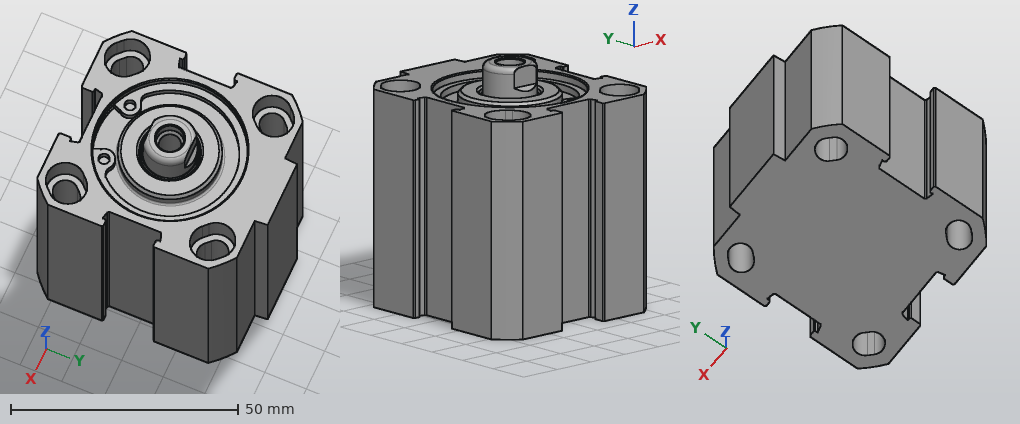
import cadquery as cq
import math

body_width = 46.0
body_depth = 48.0
body_height = 49.5
corner_radius = 30.0
rail_height = 3.0
rail_top_half = 8.05
rail_base_half = 8.3

mouth_half = 6.0
undercut_lip_half = 6.9
undercut_floor_half = 6.5
undercut_depth = 2.0
side_lip = 1.85
front_lip = 3.0
slot_edge_break = 0.3

bolt_x = 16.6
bolt_y = 17.55
bolt_slot_length = 1.57
bolt_diameter = 5.6
counterbore_diameter = 8.57
counterbore_depth = 6.0

bore_diameter = 34.1
bore_chamfer = 0.3
groove_diameter = 35.8

ring_inner_radius = 15.27
ring_thickness = 1.6
ring_depth = 1.8
lug_x = 7.1
lug_y = -12.72
lug_radius = 2.45
lug_hole_diameter = 2.5
lug_fillet = 2.0
lug_end_x = 5.85

cover_thickness = 9.5
collar_diameter = 23.0
collar_depth = 0.5
collar_chamfer = 0.7
collar_foot_fillet = 0.5
mouth_diameter = 13.7
mouth_chamfer = 0.5
wiper_groove_depth = 1.4
wiper_groove_diameter = 13.2
wiper_tip_diameter = 12.54
wiper_tip_depth = 0.8

rod_diameter = 12.0
rod_projection = 6.0
rod_tip_fillet = 1.35
flat_distance = 10.0
flat_length = 4.55
socket_diameter = 6.25
socket_chamfer = 0.25
socket_depth = 2.6
drill_diameter = 4.92
drill_depth = 13.0
drill_point_angle = 118.0

ring_top = body_height - ring_depth
flange_top = ring_top - ring_thickness
cover_bottom = flange_top - cover_thickness
collar_top = body_height - collar_depth
rod_top = body_height + rod_projection
rod_radius = rod_diameter / 2


def cylinder(diameter, bottom, top):
    return cq.Workplane("XY").workplane(offset=bottom).circle(diameter / 2).extrude(top - bottom)


def turned(points):
    """Revolve an (r, z) outline about the piston axis."""
    return cq.Workplane("XZ").polyline(points).close().revolve(360, (0, 0, 0), (0, 1, 0))


def sensor_slot(half_span, lip, turn):
    """Full-height undercut slot cut into the -Y face, then turned about Z."""
    face = -half_span
    lip_inner = face + lip
    floor = lip_inner + undercut_depth
    right_side = [
        (mouth_half + slot_edge_break, face),
        (mouth_half, face + slot_edge_break),
        (mouth_half, lip_inner - slot_edge_break),
        (mouth_half + slot_edge_break, lip_inner),
        (undercut_lip_half, lip_inner),
        (undercut_floor_half, floor - slot_edge_break),
        (undercut_floor_half - slot_edge_break, floor),
    ]
    left_side = [(-x, y) for x, y in reversed(right_side)]
    slot = cq.Workplane("XY").polyline(right_side + left_side).close().extrude(body_height)
    return slot.rotate((0, 0, 0), (0, 0, 1), turn)


def bolt_hole(x_sign, y_sign):
    """Oblong through hole with an oblong counterbore in one corner."""
    long_axis_angle = -45 * x_sign * y_sign

    def oblong(diameter, bottom):
        return (
            cq.Workplane("XY")
            .workplane(offset=bottom)
            .center(x_sign * bolt_x, y_sign * bolt_y)
            .slot2D(bolt_slot_length + diameter, diameter, long_axis_angle)
            .extrude(body_height - bottom)
        )

    counterbore = oblong(counterbore_diameter, body_height - counterbore_depth)
    return oblong(bolt_diameter, 0).union(counterbore)


def make_housing():
    block = cq.Workplane("XY").box(body_width, body_depth, body_height, centered=(True, True, False))
    block = block.intersect(cylinder(2 * corner_radius, 0, body_height))

    back = body_depth / 2
    rail_outline = [
        (-rail_base_half, back),
        (-rail_top_half, back + rail_height),
        (rail_top_half, back + rail_height),
        (rail_base_half, back),
    ]
    block = block.union(cq.Workplane("XY").polyline(rail_outline).close().extrude(body_height))

    block = block.cut(sensor_slot(body_depth / 2, front_lip, 0))
    for turn in (90, -90):
        block = block.cut(sensor_slot(body_width / 2, side_lip, turn))

    for x_sign in (1, -1):
        for y_sign in (1, -1):
            block = block.cut(bolt_hole(x_sign, y_sign))

    bore_radius = bore_diameter / 2
    bore = turned([
        (0, cover_bottom),
        (bore_radius, cover_bottom),
        (bore_radius, body_height - bore_chamfer),
        (bore_radius + bore_chamfer, body_height),
        (0, body_height),
    ])
    ring_groove = cylinder(groove_diameter, flange_top, ring_top)
    return block.cut(bore).cut(ring_groove)


def make_retaining_ring():
    outer_radius = groove_diameter / 2
    ring = cylinder(groove_diameter, flange_top, ring_top)
    ring = ring.cut(cylinder(2 * ring_inner_radius, flange_top, ring_top))

    end_y = -math.sqrt((bore_diameter / 2) ** 2 - lug_end_x ** 2)
    to_lug_x = lug_x - lug_end_x
    to_lug_y = lug_y - end_y
    to_lug = math.hypot(to_lug_x, to_lug_y)
    end_angle = math.atan2(to_lug_y, to_lug_x) + math.asin(lug_radius / to_lug)
    tangent_length = math.sqrt(to_lug ** 2 - lug_radius ** 2)
    tangent_x = lug_end_x + tangent_length * math.cos(end_angle)
    tangent_y = end_y + tangent_length * math.sin(end_angle)
    overrun = (outer_radius + end_y) / math.sin(end_angle)
    outer_x = lug_end_x - overrun * math.cos(end_angle)
    outer_y = end_y - overrun * math.sin(end_angle)

    gap_outline = [
        (tangent_x, tangent_y),
        (outer_x, outer_y),
        (-outer_x, outer_y),
        (-tangent_x, tangent_y),
    ]
    layer = cq.Workplane("XY").workplane(offset=flange_top)
    lug_places = [(lug_x, lug_y), (-lug_x, lug_y)]
    gap = layer.polyline(gap_outline).close().extrude(ring_thickness)
    lugs = layer.pushPoints(lug_places).circle(lug_radius).extrude(ring_thickness)
    lug_holes = layer.pushPoints(lug_places).circle(lug_hole_diameter / 2).extrude(ring_thickness)
    ring = ring.union(lugs).cut(gap)

    lug_centre_radius = math.hypot(lug_x, lug_y)
    along = (ring_inner_radius ** 2 + lug_centre_radius ** 2 - lug_radius ** 2) / (2 * lug_centre_radius)
    across = math.sqrt(ring_inner_radius ** 2 - along ** 2)
    root_x = (along * lug_x - across * lug_y) / lug_centre_radius
    root_y = (along * lug_y + across * lug_x) / lug_centre_radius
    mid_height = flange_top + ring_thickness / 2
    for side in (1, -1):
        root = cq.selectors.NearestToPointSelector((side * root_x, root_y, mid_height))
        ring = ring.edges("|Z").edges(root).fillet(lug_fillet)
    return ring.cut(lug_holes)


def make_rod_cover():
    bore_radius = bore_diameter / 2
    collar_radius = collar_diameter / 2
    foot_radius = collar_radius + collar_foot_fillet
    fillet_inset = collar_foot_fillet * (1 - math.sqrt(0.5))
    cover = (
        cq.Workplane("XZ")
        .moveTo(0, cover_bottom)
        .lineTo(bore_radius, cover_bottom)
        .lineTo(bore_radius, flange_top)
        .lineTo(foot_radius, flange_top)
        .threePointArc(
            (collar_radius + fillet_inset, flange_top + fillet_inset),
            (collar_radius, flange_top + collar_foot_fillet),
        )
        .lineTo(collar_radius, collar_top - collar_chamfer)
        .lineTo(collar_radius - collar_chamfer, collar_top)
        .lineTo(0, collar_top)
        .close()
        .revolve(360, (0, 0, 0), (0, 1, 0))
    )

    mouth_radius = mouth_diameter / 2
    groove_floor = collar_top - wiper_groove_depth
    tip = collar_top - wiper_tip_depth
    rod_bore = turned([
        (0, cover_bottom),
        (rod_radius, cover_bottom),
        (rod_radius, groove_floor),
        (wiper_tip_diameter / 2, tip),
        (wiper_groove_diameter / 2, groove_floor),
        (mouth_radius, groove_floor),
        (mouth_radius, collar_top - mouth_chamfer),
        (mouth_radius + mouth_chamfer, collar_top),
        (0, collar_top),
    ])
    return cover.cut(rod_bore)


def make_piston_rod():
    rod = cylinder(rod_diameter, cover_bottom, rod_top)
    rod = rod.faces(">Z").edges().fillet(rod_tip_fillet)

    flat_y = flat_distance / 2
    flat_bottom = rod_top - flat_length
    flat_outline = [
        (flat_y, rod_top),
        (flat_y, flat_bottom),
        (rod_radius, flat_bottom - (rod_radius - flat_y)),
        (rod_radius, rod_top),
    ]
    flat = cq.Workplane("YZ").polyline(flat_outline).close().extrude(rod_radius, both=True)
    rod = rod.cut(flat).cut(flat.mirror("XZ"))

    socket_radius = socket_diameter / 2
    drill_radius = drill_diameter / 2
    socket_floor = rod_top - socket_depth
    drill_floor = rod_top - drill_depth
    drill_tip = drill_floor - drill_radius / math.tan(math.radians(drill_point_angle / 2))
    socket = turned([
        (0, drill_tip),
        (drill_radius, drill_floor),
        (drill_radius, socket_floor - (socket_radius - drill_radius)),
        (socket_radius, socket_floor),
        (socket_radius, rod_top - socket_chamfer),
        (socket_radius + socket_chamfer, rod_top),
        (0, rod_top),
    ])
    return rod.cut(socket)


housing = make_housing()
retaining_ring = make_retaining_ring()
rod_cover = make_rod_cover()
piston_rod = make_piston_rod()

result = cq.Compound.makeCompound([
    housing.val(),
    retaining_ring.val(),
    rod_cover.val(),
    piston_rod.val(),
])